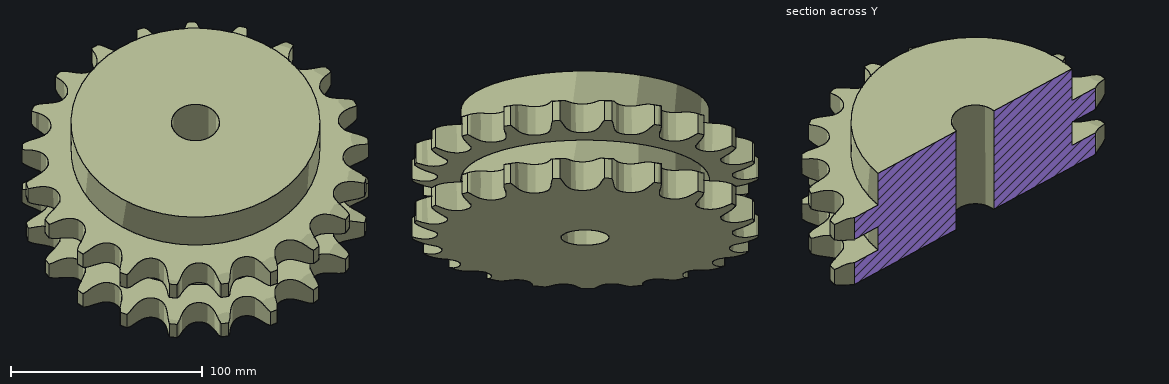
import cadquery as cq
import math


overall_width = 181.0
overall_height = 70.0
hub_diameter = 130.0
bore_diameter = 25.0

tooth_count = 21
pitch_diameter = 170.5
roller_diameter = 16.0
plate_thickness = 15.7
plate_spacing = 31.8

side_round_start_radius = 79.6
side_round_radius = 25.3

SEAT_RADIUS_FACTOR = 0.5025
WORKING_RADIUS_FACTOR = 1.3025
WORKING_OFFSET_FACTOR = 0.8
TOPPING_OFFSET_FACTOR = 1.4
seat_angle = math.radians(35 + 60 / tooth_count)
working_angle = math.radians(18 - 56 / tooth_count)
topping_angle = math.radians(17 - 64 / tooth_count)

tooth_step = 2 * math.pi / tooth_count
first_tooth_angle = -math.pi / 2

pitch_radius = pitch_diameter / 2
seat_radius = SEAT_RADIUS_FACTOR * roller_diameter
working_radius = WORKING_RADIUS_FACTOR * roller_diameter
working_offset = WORKING_OFFSET_FACTOR * roller_diameter
flank_length = (
    TOPPING_OFFSET_FACTOR * math.sin(topping_angle)
    - WORKING_OFFSET_FACTOR * math.sin(working_angle)
) * roller_diameter
topping_radius = (
    WORKING_OFFSET_FACTOR * math.cos(working_angle)
    + TOPPING_OFFSET_FACTOR * math.cos(topping_angle)
    - WORKING_RADIUS_FACTOR
) * roller_diameter


def polar_offset(start, distance, angle):
    """Point at a distance from start, in the direction of angle."""
    return (start[0] + distance * math.cos(angle), start[1] + distance * math.sin(angle))


def turn(point, angle):
    """Point turned about the sprocket axis."""
    x, y = point
    return (
        x * math.cos(angle) - y * math.sin(angle),
        x * math.sin(angle) + y * math.cos(angle),
    )


def mirror(point):
    return (-point[0], point[1])


flank_normal = working_angle - seat_angle
flank_direction = flank_normal + math.pi / 2
seat_centre = (0, pitch_radius)
seat_bottom = (0, pitch_radius - seat_radius)
seat_end = polar_offset(seat_centre, seat_radius, -seat_angle)
working_centre = polar_offset(seat_centre, working_offset, math.pi - seat_angle)
working_middle = polar_offset(working_centre, working_radius, working_angle / 2 - seat_angle)
flank_start = polar_offset(working_centre, working_radius, flank_normal)
flank_end = polar_offset(flank_start, flank_length, flank_direction)
topping_centre = polar_offset(flank_end, topping_radius, flank_normal)

steps_to_x_axis = math.floor(tooth_count / 4)
gap_at_x_axis = first_tooth_angle + (steps_to_x_axis + 0.5) * tooth_step
turn_to_x_axis = gap_at_x_axis - math.pi / 2
tip_arc_centre = turn(topping_centre, turn_to_x_axis)
tip_corner_x = overall_width / 2
tip_corner_y = tip_arc_centre[1] + math.sqrt(
    topping_radius**2 - (tip_corner_x - tip_arc_centre[0]) ** 2
)
outer_radius = math.hypot(tip_corner_x, tip_corner_y)
tip_corner = turn((tip_corner_x, tip_corner_y), -turn_to_x_axis)

flank_end_angle = math.atan2(flank_end[1] - topping_centre[1], flank_end[0] - topping_centre[0])
tip_corner_angle = math.atan2(tip_corner[1] - topping_centre[1], tip_corner[0] - topping_centre[0])
topping_middle = polar_offset(
    topping_centre, topping_radius, (flank_end_angle + tip_corner_angle) / 2
)


def plate_outline():
    """Toothed outline made of gaps joined by tooth tips on the outer circle."""
    first_gap_turn = first_tooth_angle + tooth_step / 2 - math.pi / 2
    outline = cq.Workplane("XY").moveTo(*turn(tip_corner, first_gap_turn))
    for index in range(tooth_count):
        angle = first_gap_turn + index * tooth_step
        tip_middle = polar_offset((0, 0), outer_radius, first_tooth_angle + (index + 1) * tooth_step)
        next_corner = turn(tip_corner, angle + tooth_step)
        outline = (
            outline.threePointArc(turn(topping_middle, angle), turn(flank_end, angle))
            .lineTo(*turn(flank_start, angle))
            .threePointArc(turn(working_middle, angle), turn(seat_end, angle))
            .threePointArc(turn(seat_bottom, angle), turn(mirror(seat_end), angle))
            .threePointArc(turn(mirror(working_middle), angle), turn(mirror(flank_start), angle))
            .lineTo(*turn(mirror(flank_end), angle))
            .threePointArc(turn(mirror(topping_middle), angle), turn(mirror(tip_corner), angle))
            .threePointArc(tip_middle, next_corner)
        )
    return outline.close()


def rounded_blank():
    """Disc whose two faces curve toward each other from the rounding start to the rim."""

    def round_drop(radius):
        return side_round_radius - math.sqrt(
            side_round_radius**2 - (radius - side_round_start_radius) ** 2
        )

    middle_radius = (side_round_start_radius + outer_radius) / 2
    middle_drop = round_drop(middle_radius)
    rim_drop = round_drop(outer_radius)
    return (
        cq.Workplane("XZ")
        .lineTo(side_round_start_radius, 0)
        .threePointArc((middle_radius, middle_drop), (outer_radius, rim_drop))
        .lineTo(outer_radius, plate_thickness - rim_drop)
        .threePointArc(
            (middle_radius, plate_thickness - middle_drop),
            (side_round_start_radius, plate_thickness),
        )
        .lineTo(0, plate_thickness)
        .close()
        .revolve(360, (0, 0, 0), (0, 1, 0))
    )


def toothed_plate():
    return plate_outline().extrude(plate_thickness).intersect(rounded_blank())


hub = cq.Workplane("XY").circle(hub_diameter / 2).extrude(overall_height)
bore = cq.Workplane("XY").circle(bore_diameter / 2).extrude(overall_height)

lower_plate = toothed_plate()
upper_plate = lower_plate.translate((0, 0, plate_spacing))

result = hub.union(lower_plate).union(upper_plate).cut(bore)